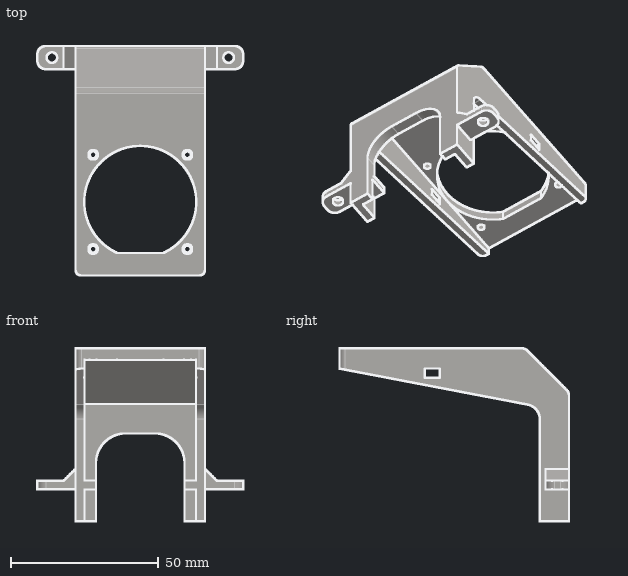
import cadquery as cq
import math


body_width = 44.0
body_length = 78.0
height = 58.8
wall = 3.0
shell = 4.0
leg_foot = 3.0
inner_width = body_width - 2 * wall

leg_depth = 10.0
back_chamfer = 15.0
back_round = 3.0
arm_root_height = 20.0
arm_tip_height = 7.0
arm_root_round = 5.0
front_corner_round = 2.0

opening_width = 30.0
opening_top = height - 29.0
opening_round = 10.0

fan_y = -53.0
fan_hole_diameter = inner_width
fan_flat_offset = 17.3
fan_screw_pitch = 32.0
fan_screw_diameter = 2.3
fan_screw_chamfer = 0.5

window_length = 5.0
window_height = 3.0
window_back_y = -44.0
window_top = height - 7.0

tab_span = 70.0
tab_depth = 8.0
tab_thickness = 3.0
tab_top = height - 45.0
tab_bottom = tab_top - tab_thickness
tab_round = 3.0
tab_gusset = 4.0
tab_hole_diameter = 3.5
tab_hole_spacing = 60.0


def box_between(x_range, y_range, z_range):
    """Axis-aligned box from its lower and upper limits."""
    (x0, x1), (y0, y1), (z0, z1) = x_range, y_range, z_range
    return cq.Workplane("XY").box(x1 - x0, y1 - y0, z1 - z0, centered=False).translate((x0, y0, z0))


def extrude_across(points, width):
    """Extrude a closed Y-Z outline symmetrically about X = 0."""
    return cq.Workplane("YZ").polyline(points).close().extrude(width / 2, both=True)


def make_outer_body():
    outline = [
        (0, 0),
        (0, height - back_chamfer),
        (-back_chamfer, height),
        (-body_length, height),
        (-body_length, height - arm_tip_height),
        (-leg_depth, height - arm_root_height),
        (-leg_depth, 0),
    ]
    body = extrude_across(outline, body_width)

    def edge_across(y, z):
        reach = 0.1
        return cq.selectors.BoxSelector(
            (-body_width, y - reach, z - reach), (body_width, y + reach, z + reach)
        )

    body = body.edges(edge_across(0, height - back_chamfer)).fillet(back_round)
    body = body.edges(edge_across(-back_chamfer, height)).fillet(back_round)
    body = body.edges(edge_across(-leg_depth, height - arm_root_height)).fillet(arm_root_round)
    return body.faces("<Y").edges("|Z").fillet(front_corner_round)


def make_inner_space():
    """Space between the side walls; the back plate is thinner below the ribs than above."""
    ceiling = height - shell
    outline = [
        (-leg_foot, 0),
        (-leg_foot, tab_bottom),
        (-shell, tab_bottom),
        (-shell, ceiling - back_chamfer),
        (-shell - back_chamfer, ceiling),
        (-body_length, ceiling),
        (-body_length, 0),
    ]
    return extrude_across(outline, inner_width)


def make_leg_opening():
    half = opening_width / 2
    opening = box_between((-half, half), (-leg_depth, 0), (0, opening_top))
    return opening.faces(">Z").edges("|Y").fillet(opening_round)


def make_fan_hole():
    """Round hole cut off by a flat on its front side."""
    radius = fan_hole_diameter / 2
    half_chord = math.sqrt(radius**2 - fan_flat_offset**2)
    return (
        cq.Workplane("XY", origin=(0, fan_y, height - shell))
        .moveTo(-half_chord, -fan_flat_offset)
        .threePointArc((0, radius), (half_chord, -fan_flat_offset))
        .close()
        .extrude(shell)
    )


def cut_fan_screw_holes(body):
    return (
        body.copyWorkplane(cq.Workplane("XY", origin=(0, fan_y, height)))
        .rect(fan_screw_pitch, fan_screw_pitch, forConstruction=True)
        .vertices()
        .cskHole(fan_screw_diameter, fan_screw_diameter + 2 * fan_screw_chamfer, 90, shell)
    )


def make_windows():
    """One bar that cuts the window through both side walls."""
    return box_between(
        (-body_width / 2, body_width / 2),
        (window_back_y - window_length, window_back_y),
        (window_top - window_height, window_top),
    )


def make_ribs():
    """Cross bar between the side walls; the leg opening parts it into two ribs."""
    half = inner_width / 2
    return box_between((-half, half), (-leg_depth, 0), (tab_bottom, tab_top))


def make_right_tab():
    root = body_width / 2
    tab = box_between((root, tab_span / 2), (-tab_depth, 0), (tab_bottom, tab_top))
    tab = tab.faces(">X").edges("|Z").fillet(tab_round)
    gusset = (
        cq.Workplane("XZ")
        .polyline([(root, tab_top), (root + tab_gusset, tab_top), (root, tab_top + tab_gusset)])
        .close()
        .extrude(tab_depth)
    )
    hole = (
        cq.Workplane("XY", origin=(tab_hole_spacing / 2, -tab_depth / 2, tab_bottom))
        .circle(tab_hole_diameter / 2)
        .extrude(tab_thickness)
    )
    return tab.union(gusset).cut(hole)


bracket = make_outer_body().cut(make_inner_space()).union(make_ribs())
bracket = bracket.cut(make_leg_opening()).cut(make_fan_hole()).cut(make_windows())
bracket = cut_fan_screw_holes(bracket)

right_tab = make_right_tab()
result = bracket.union(right_tab).union(right_tab.mirror("YZ"))